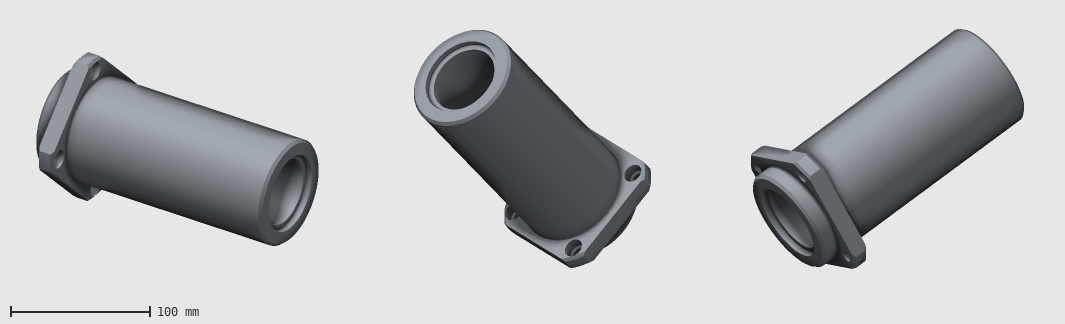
import cadquery as cq

LENGTH = 192.0
BODY_DIAMETER = 80.0
BORE_DIAMETER = 50.0
END_CHAMFER_LENGTH = 2.3
END_CHAMFER_DEPTH = 2.0

RECESS_DIAMETER = 58.0
RECESS_DEPTH = 4.8

FLANGE_START = 13.5
FLANGE_THICKNESS = 12.9
FLANGE_DIAMETER = 116.0
FLANGE_ACROSS_FLATS = 92.0
FLANGE_CHAMFER = 2.0
FLANGE_END = FLANGE_START + FLANGE_THICKNESS

FRONT_GROOVE_WIDTH = 0.9
BACK_GROOVE_WIDTH = 0.7
GROOVE_DEPTH = 0.5
GROOVE_SLOPE_LENGTH = 0.3

BOLT_CIRCLE_DIAMETER = 98.0
BOLT_HOLE_DIAMETER = 9.0
COUNTERBORE_DIAMETER = 14.0
COUNTERBORE_DEPTH = 8.0
BOLT_COUNT = 4


def cylinder(diameter, start, length):
    """Solid cylinder on the X axis."""
    return cq.Workplane("YZ", origin=(start, 0, 0)).circle(diameter / 2).extrude(length)


def make_groove(flange_face, direction, width):
    """Ring to remove beside a flange face, its floor sloping up to that face."""
    radius = BODY_DIAMETER / 2
    floor_radius = radius - GROOVE_DEPTH
    far_wall = flange_face + direction * width
    slope_start = flange_face + direction * GROOVE_SLOPE_LENGTH
    half_section = [
        (flange_face, radius),
        (slope_start, floor_radius),
        (far_wall, floor_radius),
        (far_wall, radius),
    ]
    return cq.Workplane("XY").polyline(half_section).close().revolve(360, (0, 0, 0), (1, 0, 0))


def make_body():
    """Cylinder with bevelled ends and a groove on each side of the flange."""
    radius = BODY_DIAMETER / 2
    end_radius = radius - END_CHAMFER_DEPTH
    half_section = [
        (0, 0),
        (0, end_radius),
        (END_CHAMFER_LENGTH, radius),
        (LENGTH - END_CHAMFER_LENGTH, radius),
        (LENGTH, end_radius),
        (LENGTH, 0),
    ]
    body = cq.Workplane("XY").polyline(half_section).close().revolve(360, (0, 0, 0), (1, 0, 0))
    body = body.cut(make_groove(FLANGE_START, -2, FRONT_GROOVE_WIDTH))
    return body.cut(make_groove(FLANGE_END, 2, BACK_GROOVE_WIDTH))


def make_flange():
    """Bevelled disc trimmed by a square turned 45 degrees, with its bolt holes."""
    disc = cylinder(FLANGE_DIAMETER, FLANGE_START, FLANGE_THICKNESS).edges().chamfer(FLANGE_CHAMFER)
    square = (
        cq.Workplane("YZ", origin=(FLANGE_START, 0, 0))
        .rect(FLANGE_ACROSS_FLATS, FLANGE_ACROSS_FLATS)
        .extrude(FLANGE_THICKNESS)
        .rotate((0, 0, 0), (1, 0, 0), 45)
    )
    return (
        disc.intersect(square)
        .faces(">X")
        .workplane(origin=(FLANGE_END, 0, 0))
        .polarArray(BOLT_CIRCLE_DIAMETER / 2, 0, 360, BOLT_COUNT)
        .cboreHole(BOLT_HOLE_DIAMETER, COUNTERBORE_DIAMETER, COUNTERBORE_DEPTH)
    )


def make_bore():
    """Through bore with a wider recess at both ends."""
    bore = cylinder(BORE_DIAMETER, 0, LENGTH)
    for recess_start in (0, LENGTH - RECESS_DEPTH):
        bore = bore.union(cylinder(RECESS_DIAMETER, recess_start, RECESS_DEPTH))
    return bore


result = make_body().union(make_flange()).cut(make_bore())